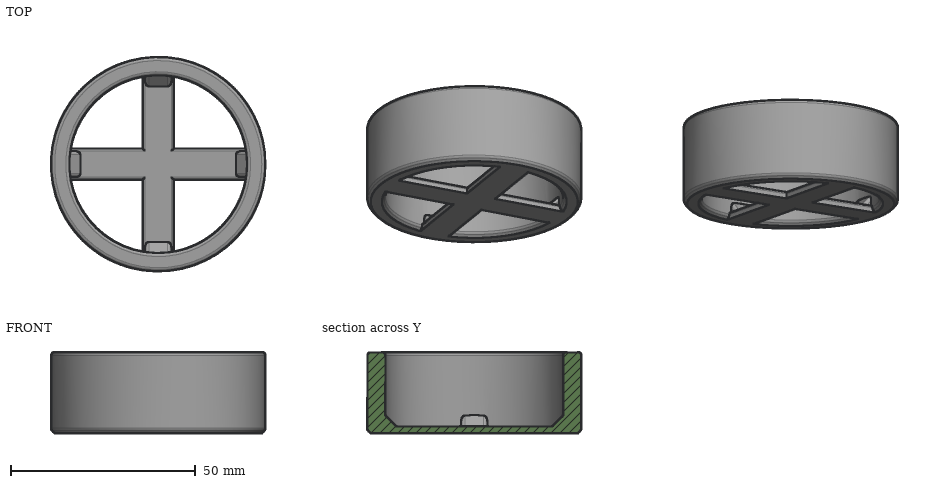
import cadquery as cq

outer_diameter = 58.0
inner_diameter = 48.0
height = 22.0
rim_fillet = 1.0
base_chamfer = 1.0
base_blend = 1.0

bar_width = 8.45
bar_thickness = 2.0
bar_edge_fillet = 0.7

stop_width = bar_width - 2 * bar_edge_fillet
stop_inner_radius = 21.05
stop_rise_per_run = 1.0
stop_fillet = 1.0

outer_radius = outer_diameter / 2
inner_radius = inner_diameter / 2
embed_radius = (inner_radius + outer_radius) / 2


def make_ring():
    ring = cq.Workplane("XY").circle(outer_radius).circle(inner_radius).extrude(height)
    ring = ring.faces("<Z").edges().chamfer(base_chamfer)
    ring = ring.edges("<<Z[2]").fillet(base_blend)
    return ring.faces(">Z").edges().fillet(rim_fillet)


def make_cross():
    length = 2 * embed_radius
    along_x = cq.Workplane("XY").box(length, bar_width, bar_thickness, centered=(True, True, False))
    along_y = along_x.rotate((0, 0, 0), (0, 0, 1), 90)
    return along_x.union(along_y).faces(">Z").edges().fillet(bar_edge_fillet)


def make_stop():
    """Wedge rising from the bar top towards the ring wall along +X."""
    run = embed_radius - stop_inner_radius
    top = bar_thickness + run * stop_rise_per_run
    wedge = (
        cq.Workplane("XZ")
        .moveTo(stop_inner_radius, 0)
        .lineTo(stop_inner_radius, bar_thickness)
        .lineTo(embed_radius, top)
        .lineTo(embed_radius, 0)
        .close()
        .extrude(stop_width / 2, both=True)
    )
    return wedge.edges("(not |X) and (not |Y) and (not |Z)").fillet(stop_fillet)


result = make_ring().union(make_cross())
for angle in (0, 90, 180, 270):
    result = result.union(make_stop().rotate((0, 0, 0), (0, 0, 1), angle))